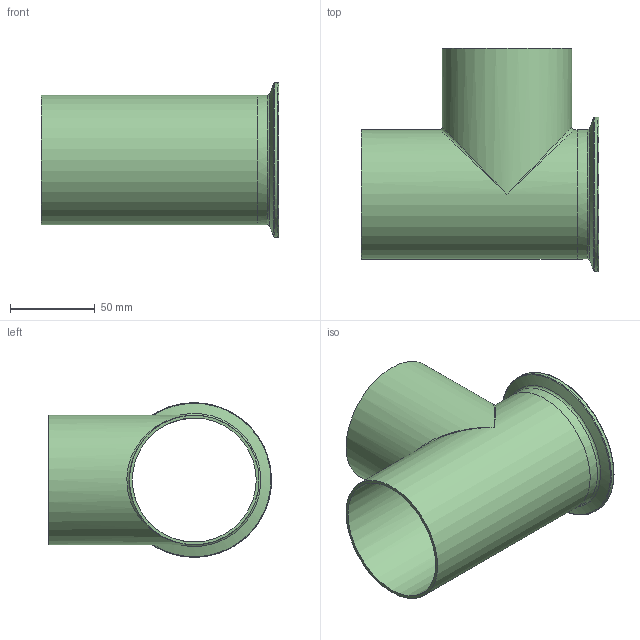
import cadquery as cq
import math

tube_outer_diameter = 76.2
tube_inner_diameter = 72.9
tube_outer_radius = tube_outer_diameter / 2
tube_inner_radius = tube_inner_diameter / 2

plain_end_length = 85.725
branch_length = 85.725
weld_length = 41.275

junction_fillet_radius = 1.5875
fillet_overcut = 0.002

ferrule_length = 12.7
flange_radius = 90.91 / 2
flange_rim_width = 2.85
flange_back_angle = 20
flange_root_radius = 1.6
flange_rim_radius = 0.5
flange_face = weld_length + ferrule_length


def cylinder_along_x(radius, start, length):
    return cq.Workplane("YZ").workplane(offset=start).circle(radius).extrude(length)


def cylinder_along_y(radius, length):
    return cq.Workplane("XZ").circle(radius).extrude(-length)


def make_junction_fillet():
    """Fillet on the +X side of the mitred joint, fading to nothing at the top and bottom crowns.

    A ball touching both equal tubes rolls along an ellipse in the plane X = Y. It touches the
    run in the plane Y = ratio * X and the branch in the plane X = ratio * Y.
    """
    ball_path_radius = tube_outer_radius + junction_fillet_radius
    ratio = tube_outer_radius / ball_path_radius
    mitre_plane = cq.Plane(origin=(0, 0, 0), xDir=(1, 1, 0), normal=(1, -1, 0))

    path_reach = math.sqrt(2) * ball_path_radius
    ball_path = cq.Workplane(mitre_plane).ellipse(path_reach, ball_path_radius)

    wedge_reach = 2 * tube_outer_radius
    wedge = (
        cq.Workplane("XY")
        .polyline([(0, 0), (wedge_reach, ratio * wedge_reach), (ratio * wedge_reach, wedge_reach)])
        .close()
        .extrude(ball_path_radius, both=True)
    )
    path_disc = (
        cq.Workplane(mitre_plane)
        .ellipse(path_reach, ball_path_radius)
        .extrude(tube_outer_radius, both=True)
    )
    filler = wedge.intersect(path_disc)

    start = cq.Plane(origin=(ball_path_radius, ball_path_radius, 0), xDir=(1, 1, 0), normal=(0, 0, 1))
    ball_sweep = cq.Workplane(start).circle(junction_fillet_radius + fillet_overcut).sweep(ball_path)
    return filler.cut(ball_sweep)


def make_tee_body():
    """Solid run and branch of equal diameter with the filleted joint."""
    run = cylinder_along_x(tube_outer_radius, -plain_end_length, plain_end_length + weld_length)
    branch = cylinder_along_y(tube_outer_radius, branch_length)
    fillet = make_junction_fillet()
    return run.union(branch).union(fillet).union(fillet.mirror("YZ"))


def make_ferrule():
    """Solid ferrule: a short neck and a clamp flange with a conical back."""
    rim_back = flange_face - flange_rim_width
    cone_height = flange_radius - tube_outer_radius
    cone_start = rim_back - cone_height * math.tan(math.radians(flange_back_angle))
    ferrule = (
        cq.Workplane("XY")
        .moveTo(weld_length, 0)
        .lineTo(weld_length, tube_outer_radius)
        .lineTo(cone_start, tube_outer_radius)
        .lineTo(rim_back, flange_radius)
        .lineTo(flange_face, flange_radius)
        .lineTo(flange_face, 0)
        .close()
        .revolve(360, (0, 0, 0), (1, 0, 0))
    )
    rim_edges = cq.selectors.BoxSelector(
        (rim_back - flange_rim_radius, -flange_radius, -flange_radius),
        (flange_face + flange_rim_radius, flange_radius, flange_radius),
    )
    ferrule = ferrule.edges("%CIRCLE").edges(rim_edges).fillet(flange_rim_radius)
    root_edge = cq.selectors.NearestToPointSelector((cone_start, 0, 0))
    return ferrule.edges("%CIRCLE").edges(root_edge).fillet(flange_root_radius)


def make_bores():
    """Bores of the run, through the ferrule, and of the branch."""
    run_bore = cylinder_along_x(tube_inner_radius, -plain_end_length, plain_end_length + flange_face)
    branch_bore = cylinder_along_y(tube_inner_radius, branch_length)
    return run_bore.union(branch_bore)


outer_body = make_tee_body().union(make_ferrule(), clean=False)
result = outer_body.cut(make_bores(), clean=False)